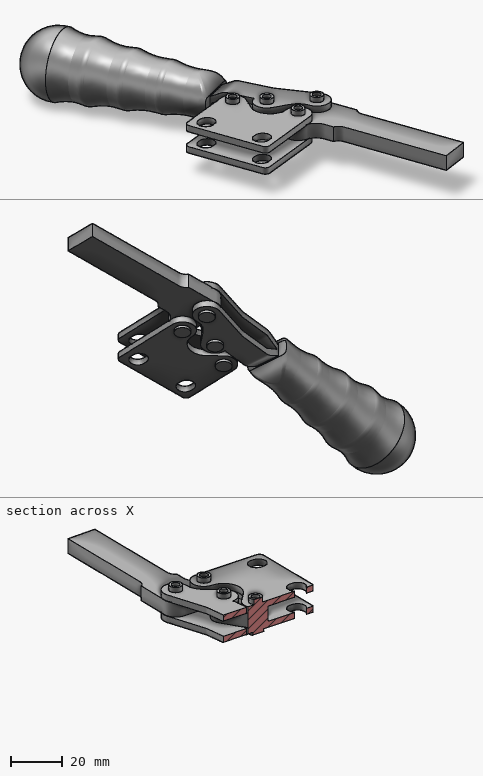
import cadquery as cq
import math


overall_length = 186.5

core_thickness = 6.3
plate_thickness = 2.8
core_half = core_thickness / 2
stack_half = core_half + plate_thickness

base_length = 37.5
eye_radius = 5.4
link_radius = 5.2
base_corner_radius = 2.0
notch_radius = 7.5
slot_width = 6.7
slot_height = 7.8
slot_inset = 6.2

rear_pivot = (eye_radius, 26.5)
front_pivot = (base_length - eye_radius, 31.3)
arm_pivot = (front_pivot[0], 45.0)
link_pivot = (16.5, 33.4)
notch_center = (front_pivot[0] - eye_radius - notch_radius, front_pivot[1])

bar_top = 48.5
bar_bottom = 35.2
arm_end_lean = 0.4
shoulder_end = 47.0
bar_start = 50.3
belly_y = 33.2
belly_radius = 6.3

lever_eye_radius = 5.5
lever_half_width = 5.5
lever_slope = 18
bend_angle = 28
bend_radius = 4.8
bend_end = 74.0
tang_length = 2.8

handle_angle = 7
ball_center = (-74.5, 28.2)
ball_diameter = 30.0
ball_radius = ball_diameter / 2
ball_end = 1.3
rib_count = 3
first_rib = 15.7
rib_pitch = 15.7
rib_half_width = 1.3
first_rib_radius = 13.8
rib_radius_drop = 1.5
rib_crown = 0.2
groove_lead = 5.4
first_groove_radius = 13.2
groove_radius_drop = 1.3
grip_end_radius = 9.7
handle_length = 66.7
flat_start = 58.5
tip_half_thickness = 3.4
flat_rim_radius = 1.5
tip_bulge = 1.3

rivet_diameter = 5.4
rivet_top = 8.2
rivet_bore_radius = 1.7
rivet_bore_depth = 1.9
rivet_head_diameter = 6.5
rivet_head_bottom = 7.0


def polar(center, radius, degrees):
    """Point on a circle at an angle from +X."""
    angle = math.radians(degrees)
    return (center[0] + radius * math.cos(angle), center[1] + radius * math.sin(angle))


def direction(start, end):
    """Angle in degrees of the line from start to end."""
    return math.degrees(math.atan2(end[1] - start[1], end[0] - start[0]))


def cross_tangent_angle(start, start_radius, end, end_radius):
    """Angle between the centre line and the radii to a tangent crossing between two circles."""
    return math.degrees(math.acos((start_radius + end_radius) / math.dist(start, end)))


def on_handle(along, across):
    """XY point from a distance along the handle axis and an offset to its left."""
    return polar(polar(ball_center, along, handle_angle), across, handle_angle + 90)


def line_crossing(p, p_degrees, q, q_degrees):
    """Intersection of two lines given by a point and an angle each."""
    ux, uy = polar((0, 0), 1, p_degrees)
    vx, vy = polar((0, 0), 1, q_degrees)
    reach = ((q[0] - p[0]) * vy - (q[1] - p[1]) * vx) / (ux * vy - uy * vx)
    return (p[0] + reach * ux, p[1] + reach * uy)


def hollow_middle(corner, level_point):
    """Middle point of the arc from a corner to a point where the arc runs level."""
    half_span = (corner[0] - level_point[0]) / 2
    rise = corner[1] - level_point[1]
    radius = (4 * half_span**2 + rise**2) / (2 * abs(rise))
    middle_rise = math.copysign(radius - math.sqrt(radius**2 - half_span**2), rise)
    return (level_point[0] + half_span, level_point[1] + middle_rise)


def side_plates(outline):
    """Extrude an XY outline into the upper side plate and mirror it to the lower one."""
    upper = outline.extrude(plate_thickness).translate((0, 0, core_half))
    return upper.union(upper.mirror("XY"))


def make_base():
    swing = cross_tangent_angle(rear_pivot, eye_radius, notch_center, notch_radius)
    toward_notch = direction(rear_pivot, notch_center)
    rear_tangent = toward_notch + swing
    notch_tangent = rear_tangent + 180
    outline = (
        cq.Workplane("XY")
        .moveTo(0, 0)
        .lineTo(base_length, 0)
        .lineTo(*polar(front_pivot, eye_radius, 0))
        .threePointArc(polar(front_pivot, eye_radius, 90), polar(front_pivot, eye_radius, 180))
        .threePointArc(
            polar(notch_center, notch_radius, (notch_tangent - 360) / 2),
            polar(notch_center, notch_radius, notch_tangent),
        )
        .lineTo(*polar(rear_pivot, eye_radius, rear_tangent))
        .threePointArc(
            polar(rear_pivot, eye_radius, (rear_tangent + 180) / 2),
            polar(rear_pivot, eye_radius, 180),
        )
        .close()
    )
    slots = (
        cq.Workplane("XY")
        .pushPoints([(slot_inset, slot_inset), (base_length - slot_inset, slot_inset)])
        .slot2D(slot_height, slot_width, 90)
        .extrude(stack_half, both=True)
    )
    return side_plates(outline).edges("|Z and <Y").fillet(base_corner_radius).cut(slots)


def make_arm():
    belly_center_y = belly_y - belly_radius
    belly_start = front_pivot[0] + math.sqrt(
        (eye_radius + belly_radius) ** 2 - (front_pivot[1] - belly_center_y) ** 2
    )
    belly_center = (belly_start, belly_center_y)
    eye_tangent = direction(front_pivot, belly_center)
    hollow_start = direction(belly_center, front_pivot)
    arm_end = ball_center[0] - ball_radius + overall_length
    top_shoulder = (shoulder_end, arm_pivot[1] + eye_radius)
    belly_shoulder = (shoulder_end, belly_y)
    bar_top_start = (bar_start, bar_top)
    bar_bottom_start = (bar_start, bar_bottom)
    return (
        cq.Workplane("XY")
        .moveTo(*polar(arm_pivot, eye_radius, 90))
        .lineTo(*top_shoulder)
        .threePointArc(hollow_middle(top_shoulder, bar_top_start), bar_top_start)
        .lineTo(arm_end - arm_end_lean, bar_top)
        .lineTo(arm_end, bar_bottom)
        .lineTo(*bar_bottom_start)
        .threePointArc(hollow_middle(belly_shoulder, bar_bottom_start), belly_shoulder)
        .lineTo(belly_start, belly_y)
        .threePointArc(
            polar(belly_center, belly_radius, (90 + hollow_start) / 2),
            polar(belly_center, belly_radius, hollow_start),
        )
        .threePointArc(
            polar(front_pivot, eye_radius, (eye_tangent - 180) / 2),
            polar(front_pivot, eye_radius, 180),
        )
        .lineTo(*polar(arm_pivot, eye_radius, 180))
        .threePointArc(polar(arm_pivot, eye_radius, 135), polar(arm_pivot, eye_radius, 90))
        .close()
        .extrude(core_half, both=True)
    )


def make_link():
    middle = ((rear_pivot[0] + link_pivot[0]) / 2, (rear_pivot[1] + link_pivot[1]) / 2)
    length = math.dist(rear_pivot, link_pivot) + 2 * link_radius
    return (
        cq.Workplane("XY")
        .center(*middle)
        .slot2D(length, 2 * link_radius, direction(rear_pivot, link_pivot))
        .extrude(core_half, both=True)
    )


def make_lever():
    radius = lever_eye_radius
    back_top = on_handle(bend_end, lever_half_width)
    back_bottom = on_handle(bend_end, -lever_half_width)
    arm_tangent = polar(arm_pivot, radius, 90 + lever_slope)
    knee = line_crossing(back_top, handle_angle, arm_tangent, lever_slope)

    hollow_radius = math.dist(arm_pivot, front_pivot) - radius
    swing = cross_tangent_angle(front_pivot, hollow_radius, link_pivot, radius)
    hollow_end = direction(front_pivot, link_pivot) - swing
    eye_start = hollow_end - 180

    eye_below_axis = -math.sin(math.radians(direction(ball_center, link_pivot) - handle_angle))
    eye_below_axis *= math.dist(ball_center, link_pivot)
    edge_offset = math.degrees(math.asin((eye_below_axis - lever_half_width) / radius))
    eye_end = handle_angle - 180 - edge_offset

    outline = (
        cq.Workplane("XY")
        .moveTo(*back_top)
        .lineTo(*knee)
        .lineTo(*arm_tangent)
        .threePointArc(polar(arm_pivot, radius, 0), polar(arm_pivot, radius, -90))
        .threePointArc(
            polar(front_pivot, hollow_radius, (90 + hollow_end % 360) / 2),
            polar(front_pivot, hollow_radius, hollow_end),
        )
        .lineTo(*polar(link_pivot, radius, eye_start))
        .threePointArc(
            polar(link_pivot, radius, (eye_start % 360 - 360 + eye_end) / 2),
            polar(link_pivot, radius, eye_end),
        )
        .lineTo(*back_bottom)
        .close()
    )
    return side_plates(outline)


handle_plane = cq.Plane(
    origin=(ball_center[0], ball_center[1], 0),
    xDir=(math.cos(math.radians(handle_angle)), math.sin(math.radians(handle_angle)), 0),
    normal=(math.sin(math.radians(handle_angle)), -math.cos(math.radians(handle_angle)), 0),
)


def make_lever_fork():
    """The two lever strips closing from the plate spacing to a flat tang in the handle."""
    slope = math.tan(math.radians(bend_angle))
    bend_center = (bend_end, stack_half - bend_radius)
    inner_radius = bend_radius - plate_thickness
    outer_bend = polar(bend_center, bend_radius, 90 + bend_angle)
    inner_bend = polar(bend_center, inner_radius, 90 + bend_angle)
    tang_half = plate_thickness
    tang_start = outer_bend[0] - (outer_bend[1] - tang_half) / slope
    apex = inner_bend[0] - inner_bend[1] / slope
    middle_angle = 90 + bend_angle / 2
    upper = (
        cq.Workplane(handle_plane)
        .moveTo(bend_end, stack_half)
        .threePointArc(polar(bend_center, bend_radius, middle_angle), outer_bend)
        .lineTo(tang_start, tang_half)
        .lineTo(handle_length - tang_length, tang_half)
        .lineTo(handle_length - tang_length, 0)
        .lineTo(apex, 0)
        .lineTo(*inner_bend)
        .threePointArc(polar(bend_center, inner_radius, middle_angle), (bend_end, core_half))
        .close()
        .extrude(lever_half_width, both=True)
    )
    return upper.union(upper.mirror("XY"))


def make_handle():
    ball_end_radius = math.sqrt(ball_radius**2 - ball_end**2)
    profile = (
        cq.Workplane(handle_plane)
        .moveTo(-ball_radius, 0)
        .threePointArc(polar((0, 0), ball_radius, 135), (ball_end, ball_end_radius))
    )
    groove_start = (ball_end, ball_end_radius)
    rib_rise = rib_half_width * rib_radius_drop / rib_pitch
    for index in range(rib_count + 1):
        rib = first_rib + index * rib_pitch
        groove_end = (rib - groove_lead, first_groove_radius - index * groove_radius_drop)
        profile = profile.threePointArc(hollow_middle(groove_start, groove_end), groove_end)
        if index < rib_count:
            edge_radius = first_rib_radius - index * rib_radius_drop - rib_crown
            rib_end = (rib + rib_half_width, edge_radius - rib_rise)
            profile = profile.lineTo(rib - rib_half_width, edge_radius + rib_rise)
            profile = profile.threePointArc((rib, edge_radius + rib_crown), rib_end)
            groove_start = rib_end
    grip = (
        profile.lineTo(handle_length, grip_end_radius)
        .lineTo(handle_length, 0)
        .close()
        .revolve(360, (0, 0), (1, 0))
    )

    flat_middle = (
        (flat_start + handle_length) / 2 + tip_bulge / 2,
        (grip_end_radius + tip_half_thickness) / 2 + tip_bulge,
    )
    upper_flat = (
        cq.Workplane(handle_plane)
        .moveTo(flat_start, grip_end_radius)
        .threePointArc(flat_middle, (handle_length, tip_half_thickness))
        .lineTo(handle_length + ball_radius, tip_half_thickness)
        .lineTo(handle_length + ball_radius, ball_radius)
        .lineTo(flat_start, ball_radius)
        .close()
        .extrude(ball_radius, both=True)
    )
    handle = grip.cut(upper_flat).cut(upper_flat.mirror("XY"))
    return handle.edges("%BSPLINE").fillet(flat_rim_radius)


def make_rivet(pivot):
    shank = cq.Workplane("XY", origin=(*pivot, -stack_half)).circle(rivet_diameter / 2)
    head = cq.Workplane("XY", origin=(*pivot, -rivet_head_bottom)).circle(rivet_head_diameter / 2)
    bore = cq.Workplane("XY", origin=(*pivot, rivet_top)).circle(rivet_bore_radius)
    return (
        shank.extrude(stack_half + rivet_top)
        .union(head.extrude(rivet_head_bottom - stack_half))
        .cut(bore.extrude(-rivet_bore_depth))
    )


result = make_base().union(make_arm()).union(make_link()).union(make_lever())
result = result.union(make_lever_fork()).union(make_handle())
for pivot in (rear_pivot, front_pivot, arm_pivot, link_pivot):
    result = result.union(make_rivet(pivot))